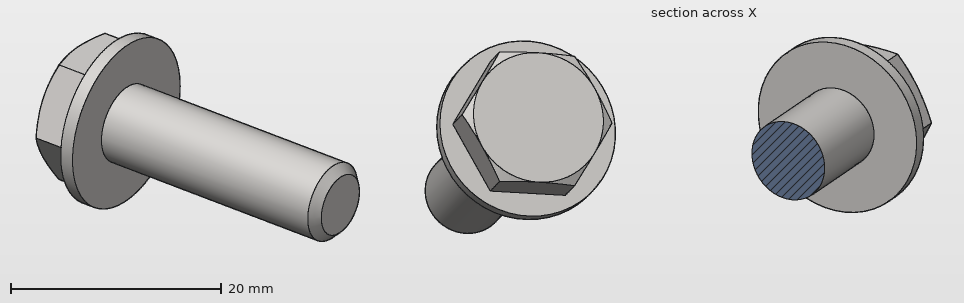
import cadquery as cq
import math

overall_length = 31.24
shank_length = 25.4
shank_diameter = 7.94
tip_chamfer = 0.92

flange_diameter = 17.17
flange_thickness = 1.40

across_flats = 12.7
head_sides = 6
head_chamfer_angle = 30.0

head_height = overall_length - shank_length - flange_thickness
head_end_x = shank_length - overall_length
across_corners = across_flats / math.cos(math.pi / head_sides)


def make_hex_head():
    """Hexagon with two flats facing +Z and -Z, its end corners cut by a cone."""
    hexagon = (
        cq.Workplane("YZ", origin=(head_end_x, 0, 0))
        .polygon(head_sides, across_corners)
        .extrude(head_height)
    )
    face_radius = across_flats / 2
    envelope_radius = flange_diameter / 2
    cone_length = (envelope_radius - face_radius) * math.tan(math.radians(head_chamfer_angle))
    flange_face_x = head_end_x + head_height
    envelope = (
        cq.Workplane("XY")
        .moveTo(head_end_x, 0)
        .lineTo(head_end_x, face_radius)
        .lineTo(head_end_x + cone_length, envelope_radius)
        .lineTo(flange_face_x, envelope_radius)
        .lineTo(flange_face_x, 0)
        .close()
        .revolve(360, (0, 0, 0), (1, 0, 0))
    )
    return hexagon.intersect(envelope)


def make_flange():
    """Plain round washer face behind the head."""
    return (
        cq.Workplane("YZ", origin=(-flange_thickness, 0, 0))
        .circle(flange_diameter / 2)
        .extrude(flange_thickness)
    )


def make_shank():
    """Cylindrical shank with a chamfered tip, rooted in the flange."""
    shank_radius = shank_diameter / 2
    return (
        cq.Workplane("XY")
        .moveTo(-flange_thickness, 0)
        .lineTo(-flange_thickness, shank_radius)
        .lineTo(shank_length - tip_chamfer, shank_radius)
        .lineTo(shank_length, shank_radius - tip_chamfer)
        .lineTo(shank_length, 0)
        .close()
        .revolve(360, (0, 0, 0), (1, 0, 0))
    )


result = make_hex_head().union(make_flange()).union(make_shank())